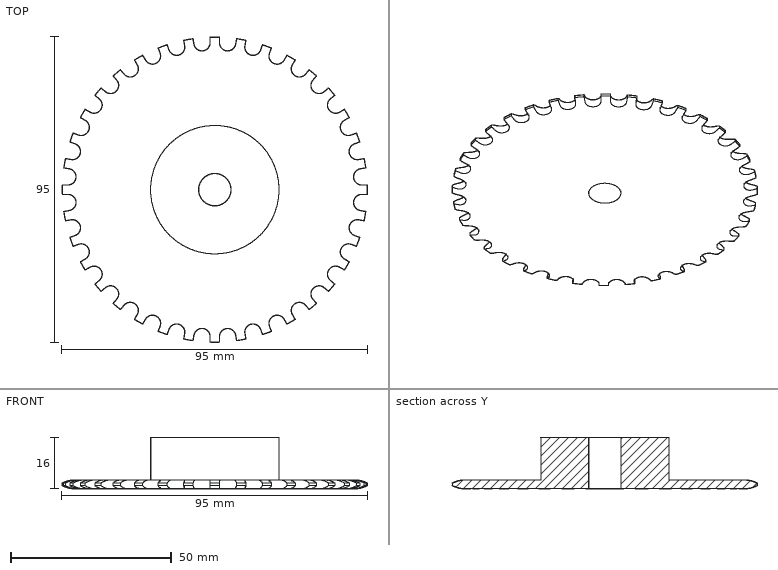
import cadquery as cq
import math

tooth_count = 36
chain_pitch = 8.0
roller_seat_radius = 2.5
pitch_radius = chain_pitch / (2 * math.sin(math.pi / tooth_count))

outer_radius = 47.5
disc_thickness = 2.8
tooth_side_radius = 8.0
tooth_side_relief = 1.0

hub_diameter = 40.0
bore_diameter = 10.0
total_height = 16.0

cut_clearance = 2.0


def make_disc():
    """Plain disc whose rim is thinned on both faces by an arc tangent to the face."""
    relief_width = math.sqrt(tooth_side_radius**2 - (tooth_side_radius - tooth_side_relief) ** 2)
    face_radius = outer_radius - relief_width
    half_sweep = math.asin(relief_width / tooth_side_radius) / 2
    mid_radius = face_radius + tooth_side_radius * math.sin(half_sweep)
    mid_drop = tooth_side_radius * (1 - math.cos(half_sweep))
    return (
        cq.Workplane("YZ")
        .lineTo(face_radius, 0)
        .threePointArc((mid_radius, mid_drop), (outer_radius, tooth_side_relief))
        .lineTo(outer_radius, disc_thickness - tooth_side_relief)
        .threePointArc((mid_radius, disc_thickness - mid_drop), (face_radius, disc_thickness))
        .lineTo(0, disc_thickness)
        .close()
        .revolve(360, (0, 0), (0, 1))
    )


def make_tooth_gap():
    """Gap centred on +X: a round roller seat whose walls run parallel to the neighbouring teeth."""
    half_pitch_angle = math.pi / tooth_count
    wall_start_x = pitch_radius - roller_seat_radius * math.sin(half_pitch_angle)
    wall_start_y = roller_seat_radius * math.cos(half_pitch_angle)
    wall_end_x = outer_radius + cut_clearance
    wall_end_y = wall_start_y + (wall_end_x - wall_start_x) * math.tan(half_pitch_angle)
    return (
        cq.Workplane("XY")
        .moveTo(wall_end_x, -wall_end_y)
        .lineTo(wall_start_x, -wall_start_y)
        .threePointArc((pitch_radius - roller_seat_radius, 0), (wall_start_x, wall_start_y))
        .lineTo(wall_end_x, wall_end_y)
        .close()
        .extrude(disc_thickness)
    )


def cut_teeth(disc):
    """Cut the gaps half a pitch off the axes, so that a tooth sits on each axis."""
    pitch_angle = 360 / tooth_count
    gap = make_tooth_gap()
    gaps = cq.Workplane("XY")
    for index in range(tooth_count):
        gaps = gaps.add(gap.rotate((0, 0, 0), (0, 0, 1), (index + 0.5) * pitch_angle))
    return disc.cut(cq.Workplane(cq.Compound.makeCompound(gaps.vals())))


def add_hub(disc):
    """Add the round hub on the upper face and drill the bore through hub and disc."""
    hub = cq.Workplane("XY").circle(hub_diameter / 2).extrude(total_height)
    bore = cq.Workplane("XY").circle(bore_diameter / 2).extrude(total_height)
    return disc.union(hub).cut(bore)


result = add_hub(cut_teeth(make_disc()))